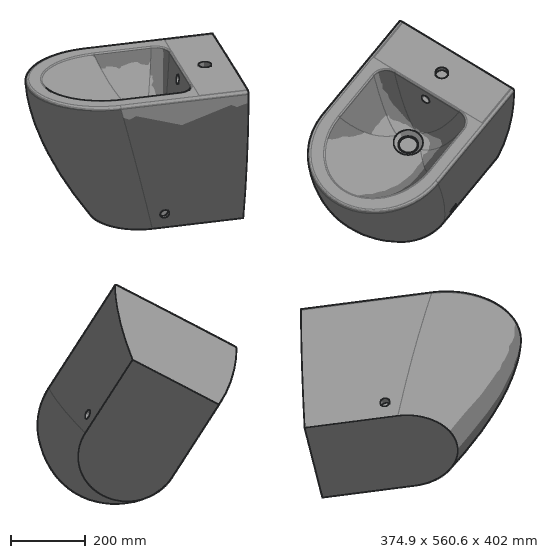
import cadquery as cq
import math


RIM_HEIGHT = 401.0
RIM_HALF_WIDTH = 187.5
BASE_HALF_WIDTH = 133.5
RIM_REACH = 561.0
BASE_REACH = 389.5
RIM_NOSE_START = 356.0
BASE_NOSE_START = 252.0
SIDE_CURVE_POWER = 1.9
FRONT_CURVE_POWER = 1.66
SHELL_SECTIONS = 7
RIM_ROUND = 8.5

CROWN_HEIGHT = 1.0
CROWN_HALF_WIDTH = 176.5
CROWN_LENGTH = 134.5

BASIN_BACK_REACH = 140.0
BASIN_FRONT_REACH = 518.0
BASIN_HALF_WIDTH = 145.5
BASIN_NOSE_START = 339.0
BASIN_CORNER_RADIUS = 39.0
BASIN_EDGE_ROUND = 5.0
BASIN_SECTIONS = 6
BASIN_CURVE_POWER = 2.0
DRAIN_REACH = 224.5
DRAIN_TOP_RADIUS = 39.0
DRAIN_SEAT_RADIUS = 27.0
DRAIN_HOLE_RADIUS = 24.5
DRAIN_TOP_HEIGHT = 252.0
DRAIN_CONE_DEPTH = 11.0
DRAIN_HOLE_DEPTH = 3.0
DRAIN_CORNER_RADIUS = 0.95 * DRAIN_TOP_RADIUS

TAP_HOLE_DIAMETER = 35.0
TAP_HOLE_REACH = 70.0
SMALL_HOLE_DIAMETER = 25.0
BLIND_DEPTH = 15.0
OVERFLOW_HEIGHT = 367.5
FIXING_REACH = 220.0
FIXING_HEIGHT = 46.0


def blend(start, end, share):
    """Value a given share of the way from start to end."""
    return start + (end - start) * share


def nose_edge(half_width, nose_start, reach, height):
    """Front half of an ellipse, running from the -X side round to the +X side."""
    center = cq.Vector(0, -nose_start, height)
    length = reach - nose_start
    forward = cq.Vector(0, -1, 0)
    up = cq.Vector(0, 0, 1)
    return cq.Edge.makeEllipse(length, half_width, center, up, forward, 270, 90)


def shell_section(depth_share):
    """Straight-sided outline with a half-elliptical nose, at a share of the depth below the rim."""
    height = RIM_HEIGHT * (1 - depth_share)
    half_width = blend(RIM_HALF_WIDTH, BASE_HALF_WIDTH, depth_share**SIDE_CURVE_POWER)
    reach = blend(RIM_REACH, BASE_REACH, depth_share**FRONT_CURVE_POWER)
    nose_start = blend(RIM_NOSE_START, BASE_NOSE_START, depth_share)
    corners = [(half_width, -nose_start), (half_width, 0), (-half_width, 0), (-half_width, -nose_start)]
    points = [cq.Vector(x, y, height) for x, y in corners]
    edges = [cq.Edge.makeLine(start, end) for start, end in zip(points, points[1:])]
    return cq.Wire.assembleEdges(edges + [nose_edge(half_width, nose_start, reach, height)])


def basin_section(share):
    """Basin outline: share 0 is the drain circle, share 1 the opening at the rim."""
    height = blend(DRAIN_TOP_HEIGHT, RIM_HEIGHT, share**BASIN_CURVE_POWER)
    half_width = blend(DRAIN_TOP_RADIUS, BASIN_HALF_WIDTH, share)
    back = -blend(DRAIN_REACH - DRAIN_TOP_RADIUS, BASIN_BACK_REACH, share)
    nose_start = blend(DRAIN_REACH, BASIN_NOSE_START, share)
    reach = blend(DRAIN_REACH + DRAIN_TOP_RADIUS, BASIN_FRONT_REACH, share)
    radius = blend(DRAIN_CORNER_RADIUS, BASIN_CORNER_RADIUS, share)
    inset = radius * (1 - math.sqrt(0.5))

    def point(x, y):
        return cq.Vector(x, y, height)

    def corner(side):
        return [
            point(side * half_width, back - radius),
            point(side * (half_width - inset), back - inset),
            point(side * (half_width - radius), back),
        ]

    right = corner(1)
    left = corner(-1)[::-1]
    edges = [
        cq.Edge.makeLine(point(half_width, -nose_start), right[0]),
        cq.Edge.makeThreePointArc(*right),
        cq.Edge.makeLine(right[-1], left[0]),
        cq.Edge.makeThreePointArc(*left),
        cq.Edge.makeLine(left[-1], point(-half_width, -nose_start)),
        nose_edge(half_width, nose_start, reach, height),
    ]
    return cq.Wire.assembleEdges(edges)


def make_shell():
    sections = [shell_section(1 - i / (SHELL_SECTIONS - 1)) for i in range(SHELL_SECTIONS)]
    shell = cq.Workplane(cq.Solid.makeLoft(sections))
    return shell.faces(">Z").edges("not >Y").fillet(RIM_ROUND)


def make_basin():
    sections = [basin_section(i / (BASIN_SECTIONS - 1)) for i in range(BASIN_SECTIONS)]
    return cq.Workplane(cq.Solid.makeLoft(sections))


def make_drain():
    """Conical seat with a shallow round recess at its bottom."""
    seat_height = DRAIN_TOP_HEIGHT - DRAIN_CONE_DEPTH
    floor_height = seat_height - DRAIN_HOLE_DEPTH
    return (
        cq.Workplane("XZ")
        .moveTo(0, floor_height)
        .lineTo(DRAIN_HOLE_RADIUS, floor_height)
        .lineTo(DRAIN_HOLE_RADIUS, seat_height)
        .lineTo(DRAIN_SEAT_RADIUS, seat_height)
        .lineTo(DRAIN_TOP_RADIUS, DRAIN_TOP_HEIGHT)
        .lineTo(0, DRAIN_TOP_HEIGHT)
        .close()
        .revolve(360, (0, 0, 0), (0, 1, 0))
        .translate((0, -DRAIN_REACH, 0))
    )


def make_crown():
    """Arched sliver, highest at the back face and fading to a straight line behind the basin."""
    back_left = cq.Vector(-CROWN_HALF_WIDTH, 0, RIM_HEIGHT)
    back_right = cq.Vector(CROWN_HALF_WIDTH, 0, RIM_HEIGHT)
    front_left = back_left - cq.Vector(0, CROWN_LENGTH, 0)
    front_right = back_right - cq.Vector(0, CROWN_LENGTH, 0)
    crest = cq.Vector(0, 0, RIM_HEIGHT + CROWN_HEIGHT)
    arch = cq.Edge.makeThreePointArc(back_left, crest, back_right)
    front = cq.Edge.makeLine(front_left, front_right)
    chord = cq.Edge.makeLine(back_right, back_left)
    top = cq.Face.makeRuledSurface(arch, front)
    back = cq.Face.makeFromWires(cq.Wire.assembleEdges([arch, chord]))
    outline = cq.Wire.makePolygon([back_left, back_right, front_right, front_left], close=True)
    underside = cq.Face.makeFromWires(outline)
    return cq.Workplane(cq.Solid.makeSolid(cq.Shell.makeShell([top, back, underside])))


def cut_holes(body):
    """Blind holes: tap hole in the deck, overflow in the basin back, one fixing hole in each side."""
    tap_floor = RIM_HEIGHT - BLIND_DEPTH
    tap = (
        cq.Workplane("XY", origin=(0, -TAP_HOLE_REACH, tap_floor))
        .circle(TAP_HOLE_DIAMETER / 2)
        .extrude(2 * BLIND_DEPTH)
    )
    overflow = (
        cq.Workplane("XZ", origin=(0, BLIND_DEPTH - BASIN_BACK_REACH, OVERFLOW_HEIGHT))
        .circle(SMALL_HOLE_DIAMETER / 2)
        .extrude(3 * BLIND_DEPTH)
    )
    body = body.cut(tap).cut(overflow)

    depth_share = 1 - FIXING_HEIGHT / RIM_HEIGHT
    wall_x = blend(RIM_HALF_WIDTH, BASE_HALF_WIDTH, depth_share**SIDE_CURVE_POWER)
    for side in (-1, 1):
        fixing = (
            cq.Workplane("YZ", origin=(side * (wall_x - BLIND_DEPTH), -FIXING_REACH, FIXING_HEIGHT))
            .circle(SMALL_HOLE_DIAMETER / 2)
            .extrude(side * 2 * BLIND_DEPTH)
        )
        body = body.cut(fixing)
    return body


SELECT_MARGIN = 5.5
basin_opening = cq.selectors.BoxSelector(
    (-BASIN_HALF_WIDTH - SELECT_MARGIN, -BASIN_FRONT_REACH - SELECT_MARGIN, RIM_HEIGHT - SELECT_MARGIN),
    (BASIN_HALF_WIDTH + SELECT_MARGIN, -BASIN_BACK_REACH + SELECT_MARGIN, RIM_HEIGHT + SELECT_MARGIN),
    boundingbox=True,
)
body = make_shell().cut(make_basin())
body = body.edges(basin_opening).fillet(BASIN_EDGE_ROUND)
body = body.cut(make_drain()).union(make_crown())
result = cut_holes(body)